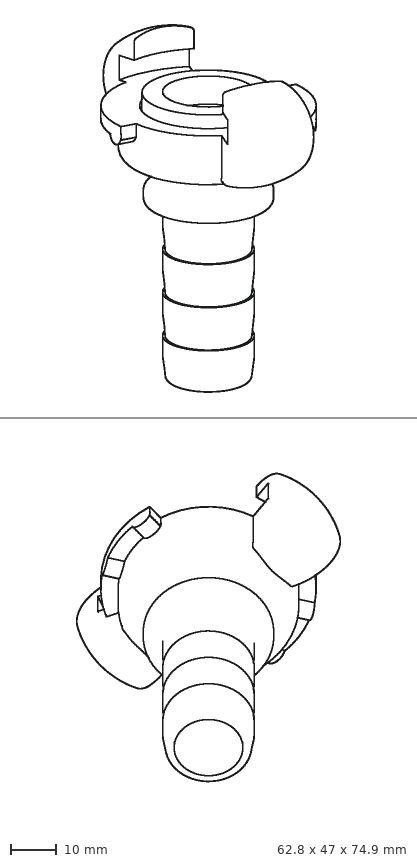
import cadquery as cq
import math

body_top = 63.3
body_bottom = 51.15

head_radius = 19.7
head_fillet = 2.85

stem_radius = 20.0 / 2
neck_radius = 19.0 / 2
neck_fillet = 1.95
collar_radius = 28.5 / 2
collar_top = 45.15
collar_bottom = 40.65
collar_fillet = 1.4
collar_root_fillet = 1.1
barb_count = 4
barb_pitch = 30 / 3
barb_taper_length = barb_pitch / 2
stem_tip_fillet = 0.9

bore_radius = 15 / 2
chamber_radius = 35.0 / 2
chamber_floor = 55.5
chamber_top = 61.5
mouth_radius = 30 / 2
funnel_radius = 20.0 / 2 - bore_radius

flange_radius = 47.0 / 2
flange_thickness = 3.15
flange_end_x = 2.5
flange_bottom = body_top - flange_thickness
bump_radius = 2.55
bump_drop = 1.65
bump_angles = (-90, -126)

claw_reach = 62.8 / 2
claw_radius = 11.9
claw_axis_x = claw_reach - claw_radius
claw_axis_z = body_bottom + claw_radius
claw_crown_radius = 22.5
claw_half_width = 11.25
claw_flank_angle = 16.7
claw_flank_offset = 1.65
claw_edge_fillet = 0.9
claw_tip_radius = 21
claw_slot_radius = 25.5
claw_slot_top = 69

seal_radius = 29.0 / 2
seal_bore_radius = 20.0 / 2
seal_rim_top = 66.3
seal_lip_top = 66.5
seal_bottom = 60
seal_flange_radius = 34.5 / 2


def cylinder(radius, bottom, top):
    """Cylinder about Z between two heights."""
    return cq.Workplane("XY").workplane(offset=bottom).circle(radius).extrude(top - bottom)


def make_stem():
    """Barbed hose stem with its collar and neck, revolved about Z."""
    arc_offset = math.sqrt(0.5)
    profile = cq.Workplane("XZ").moveTo(0, 0).lineTo(neck_radius - stem_tip_fillet, 0)
    profile = profile.threePointArc(
        (neck_radius - stem_tip_fillet * (1 - arc_offset), stem_tip_fillet * (1 - arc_offset)),
        (neck_radius, stem_tip_fillet),
    )
    for barb in range(barb_count):
        bottom = barb * barb_pitch
        if barb > 0:
            profile = profile.lineTo(neck_radius, bottom)
        profile = profile.lineTo(stem_radius, bottom + barb_taper_length)
        if barb < barb_count - 1:
            profile = profile.lineTo(stem_radius, bottom + barb_pitch)

    def corner(start_radius, start_z, end_radius, end_z, center_radius, center_z):
        """Profile continued to a quarter-circle arc about the given centre."""
        size = math.hypot(start_radius - center_radius, start_z - center_z)
        radial_side = math.copysign(1, start_radius + end_radius - 2 * center_radius)
        axial_side = math.copysign(1, start_z + end_z - 2 * center_z)
        middle = (
            center_radius + size * arc_offset * radial_side,
            center_z + size * arc_offset * axial_side,
        )
        return profile.lineTo(start_radius, start_z).threePointArc(middle, (end_radius, end_z))

    root = stem_radius + collar_root_fillet
    flare = neck_radius + neck_fillet
    inset = collar_radius - collar_fillet
    profile = corner(stem_radius, collar_bottom - collar_root_fillet, root, collar_bottom,
                     root, collar_bottom - collar_root_fillet)
    profile = corner(inset, collar_bottom, collar_radius, collar_bottom + collar_fillet,
                     inset, collar_bottom + collar_fillet)
    profile = corner(collar_radius, collar_top - collar_fillet, inset, collar_top,
                     inset, collar_top - collar_fillet)
    profile = corner(flare, collar_top, neck_radius, collar_top + neck_fillet,
                     flare, collar_top + neck_fillet)
    profile = corner(neck_radius, body_bottom - neck_fillet, flare, body_bottom,
                     flare, body_bottom - neck_fillet)
    return profile.lineTo(0, body_bottom).close().revolve(360, (0, 0, 0), (0, 1, 0))


def make_head():
    """Round coupling head above the neck."""
    return cylinder(head_radius, body_bottom, body_top).faces("<Z").edges().fillet(head_fillet)


def make_cam_flange():
    """Raised-radius flange sector on the -Y side with two detent bumps below it."""
    end_y = -math.sqrt(flange_radius**2 - flange_end_x**2)
    sector = (
        cq.Workplane("XY").workplane(offset=flange_bottom)
        .polyline([(0, 0), (flange_end_x, 0), (flange_end_x, 2 * end_y),
                   (-2 * flange_radius, 2 * end_y), (-2 * flange_radius, 0)]).close()
        .extrude(flange_thickness)
    )
    flange = cylinder(flange_radius, flange_bottom, body_top).intersect(sector)
    envelope = cylinder(flange_radius, body_bottom, body_top)
    for angle in bump_angles:
        bump = (
            cq.Workplane("YZ").center(0, flange_bottom - bump_drop + bump_radius)
            .circle(bump_radius).extrude(2 * flange_radius)
            .intersect(cylinder(2 * flange_radius, body_bottom, body_top))
            .rotate((0, 0, 0), (0, 0, 1), angle)
        )
        flange = flange.union(bump.intersect(envelope))
    return flange


def make_claw():
    """Crowned claw on the +X side with a slot that receives the mating flange."""
    edge_radius = claw_radius - claw_crown_radius + math.sqrt(claw_crown_radius**2 - claw_half_width**2)
    barrel = (
        cq.Workplane("XY").workplane(offset=claw_axis_z)
        .moveTo(claw_axis_x, -claw_half_width)
        .lineTo(claw_axis_x - edge_radius, -claw_half_width)
        .threePointArc((claw_axis_x - claw_radius, 0), (claw_axis_x - edge_radius, claw_half_width))
        .lineTo(claw_axis_x, claw_half_width).close()
        .revolve(360, (claw_axis_x, 0, 0), (claw_axis_x, 1, 0))
    )
    wedge_length = claw_axis_x + 2 * claw_radius
    outer_y = claw_flank_offset + wedge_length * math.tan(math.radians(claw_flank_angle))
    flanks = (
        cq.Workplane("XY").workplane(offset=claw_axis_z - 2 * claw_radius)
        .polyline([(0, -claw_flank_offset), (wedge_length, -outer_y),
                   (wedge_length, outer_y), (0, claw_flank_offset)]).close()
        .extrude(4 * claw_radius)
    )
    claw = barrel.intersect(flanks)
    claw = claw.faces("<Y or >Y").edges().fillet(claw_edge_fillet)
    claw = claw.cut(cylinder(claw_tip_radius, body_top, body_top + 2 * claw_radius))
    return claw.cut(cylinder(claw_slot_radius, body_top, claw_slot_top))


def make_housing():
    """Head, stem, cam flanges and claws as one casting with its bore."""
    housing = make_head().union(make_stem())
    for angle in (0, 180):
        for feature in (make_cam_flange(), make_claw()):
            housing = housing.union(feature.rotate((0, 0, 0), (0, 0, 1), angle))
    bore = cylinder(bore_radius, 0, chamber_floor)
    chamber = cylinder(chamber_radius, chamber_floor, chamber_top)
    mouth = cylinder(mouth_radius, chamber_top, body_top)
    housing = housing.cut(bore).cut(chamber).cut(mouth)
    funnel = (
        cq.Workplane("XZ").moveTo(0, chamber_floor - funnel_radius)
        .lineTo(bore_radius, chamber_floor - funnel_radius)
        .radiusArc((bore_radius + funnel_radius, chamber_floor), funnel_radius)
        .lineTo(0, chamber_floor).close()
        .revolve(360, (0, 0, 0), (0, 1, 0))
    )
    return housing.cut(funnel)


def make_seal():
    """Flanged seal ring, held below the mouth of the head."""
    return (
        cq.Workplane("XZ")
        .polyline([(seal_bore_radius, seal_bottom), (seal_flange_radius, seal_bottom),
                   (seal_flange_radius, chamber_top), (seal_radius, chamber_top),
                   (seal_radius, seal_rim_top), (seal_bore_radius, seal_lip_top)]).close()
        .revolve(360, (0, 0, 0), (0, 1, 0))
    )


housing = make_housing()
seal = make_seal()
result = cq.Compound.makeCompound([housing.val(), seal.val()])